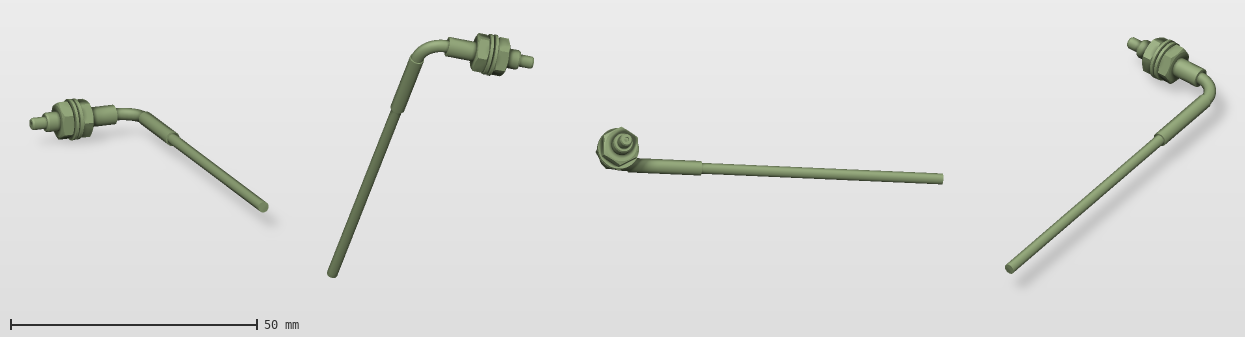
import cadquery as cq
import math

overall_length = 74.25

barrel_radius = 2.0
barrel_start = 3.0
barrel_end = 18.05
tip_radius = 1.25
end_chamfer_length = 0.4
end_chamfer_depth = 0.2
bore_radius = 0.5
bore_depth = 0.5

nut_across_flats = 7.0
nut_thickness = 2.5
front_nut_turn = 88.5
rear_nut_turn = 1.5
nut_face_radius = 3.3
nut_chamfer_height = 0.4
front_nut_start = 5.65
rear_nut_start = 9.9

washer_radius = 4.15
washer_thickness = 0.6
lock_washer_radius = 4.2
lock_washer_thickness = 0.5
lock_washer_gap = 0.15
washer_start = rear_nut_start - washer_thickness
lock_washer_start = front_nut_start + nut_thickness + lock_washer_gap

tube_radius = tip_radius
bend_radius = 5.0
sleeve_radius = 1.5
sleeve_length = 15.0
cable_radius = 1.1
cable_axis_y = barrel_end + bend_radius
sleeve_start = bend_radius
cable_start = sleeve_start + sleeve_length
cable_end = overall_length - lock_washer_radius


def disc(radius, start, length):
    """Cylinder on the barrel axis, growing toward +Y."""
    return cq.Workplane("XZ", origin=(0, start, 0)).circle(radius).extrude(-length)


def rod_along_x(radius, start, length):
    """Cylinder on the cable axis, growing toward +X."""
    return cq.Workplane("YZ", origin=(start, cable_axis_y, 0)).circle(radius).extrude(length)


def make_barrel():
    body = disc(barrel_radius, barrel_start, barrel_end - barrel_start)
    body = body.faces("<Y").chamfer(end_chamfer_length, end_chamfer_depth)
    tip = disc(tip_radius, 0, barrel_start)
    tip = tip.faces("<Y").chamfer(end_chamfer_length, end_chamfer_depth)
    return body.union(tip).cut(disc(bore_radius, 0, bore_depth))


def make_washer(radius, start, thickness):
    return disc(radius, start, thickness).cut(disc(barrel_radius, start, thickness))


def make_nut(start, turn):
    """Hexagon nut with both ends turned down to a round face; the turn is in degrees, 0 puts a corner at +X."""
    corner_radius = nut_across_flats / 2 / math.cos(math.pi / 6)
    hexagon = (
        cq.Workplane("XZ", origin=(0, start, 0))
        .transformed(rotate=(0, 0, turn))
        .polygon(6, 2 * corner_radius)
        .extrude(-nut_thickness)
    )
    end = start + nut_thickness
    turned_envelope = (
        cq.Workplane("XY")
        .moveTo(0, start)
        .lineTo(nut_face_radius, start)
        .lineTo(corner_radius, start + nut_chamfer_height)
        .lineTo(corner_radius, end - nut_chamfer_height)
        .lineTo(nut_face_radius, end)
        .lineTo(0, end)
        .close()
        .revolve(360, (0, 0, 0), (0, 1, 0))
    )
    return hexagon.intersect(turned_envelope).cut(disc(barrel_radius, start, nut_thickness))


def make_bent_tube():
    """Quarter bend from the barrel axis to the cable axis."""
    return (
        cq.Workplane("XZ", origin=(0, barrel_end, 0))
        .circle(tube_radius)
        .revolve(90, (bend_radius, 0, 0), (bend_radius, -1, 0))
    )


barrel = make_barrel()
front_nut = make_nut(front_nut_start, front_nut_turn)
rear_nut = make_nut(rear_nut_start, rear_nut_turn)
washer = make_washer(washer_radius, washer_start, washer_thickness)
lock_washer = make_washer(lock_washer_radius, lock_washer_start, lock_washer_thickness)
bent_tube = make_bent_tube()
sleeve = rod_along_x(sleeve_radius, sleeve_start, sleeve_length)
cable = rod_along_x(cable_radius, cable_start, cable_end - cable_start)

bodies = [barrel, front_nut, rear_nut, washer, lock_washer, bent_tube, sleeve, cable]
result = cq.Compound.makeCompound([body.val() for body in bodies])